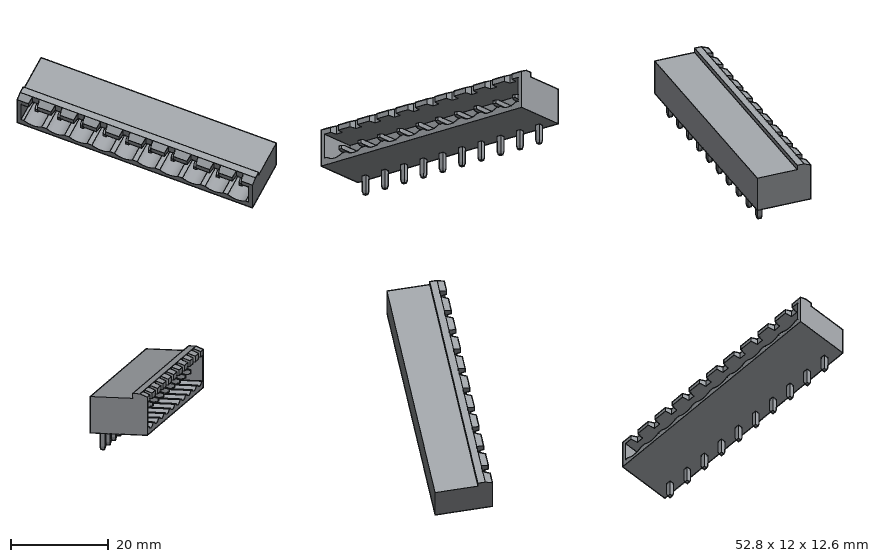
import cadquery as cq


length = 52.8
depth = 12.0
deck_height = 7.6
lip_height = 8.6
lip_depth = 3.05
lip_bevel_depth = 1.55
lip_bevel_drop = 0.65

end_wall = 0.9
floor_height = 1.6
ceiling_height = 6.8
socket_depth = 8.25

groove_half_width = 2.0
groove_sag = 0.65

notch_back_width = 1.5
notch_front_width = 2.0

pin_count = 10
end_margin = 3.55
pin_pitch = (length - 2 * end_margin) / (pin_count - 1)
pin_width = 1.0
pin_axis_height = 3.85
pin_leg_y = depth - 1.9
pin_drop = 4.0
pin_front_y = 1.85
taper_length = 0.7
taper_inset = 0.15

pin_positions = [end_margin + i * pin_pitch - length / 2 for i in range(pin_count)]


def make_housing():
    """Extrude the stepped side profile, with its bevelled lip, along the row."""
    return (
        cq.Workplane("YZ")
        .polyline(
            [
                (0, 0),
                (depth, 0),
                (depth, deck_height),
                (lip_depth, deck_height),
                (lip_depth, lip_height),
                (lip_bevel_depth, lip_height),
                (0, lip_height - lip_bevel_drop),
            ]
        )
        .close()
        .extrude(length / 2, both=True)
    )


def make_socket():
    """Front opening whose floor dips in a round groove below each pin."""
    inner_x = length / 2 - end_wall
    outline = cq.Workplane("XZ").moveTo(-inner_x, ceiling_height).lineTo(-inner_x, floor_height)
    for x in pin_positions:
        outline = outline.lineTo(x - groove_half_width, floor_height).threePointArc(
            (x, floor_height - groove_sag), (x + groove_half_width, floor_height)
        )
    outline = outline.lineTo(inner_x, floor_height).lineTo(inner_x, ceiling_height).close()
    return outline.extrude(-socket_depth)


def make_notch(x):
    """Notch from the socket ceiling up through the lip, wider at the front face."""
    return (
        cq.Workplane("XY", origin=(x, 0, ceiling_height))
        .polyline(
            [
                (-notch_front_width / 2, 0),
                (notch_front_width / 2, 0),
                (notch_back_width / 2, lip_bevel_depth),
                (-notch_back_width / 2, lip_bevel_depth),
            ]
        )
        .close()
        .extrude(lip_height - ceiling_height)
    )


def make_bar(workplane, bar_length):
    """Square bar along the workplane normal, narrowing to a blunt tip at its far end."""
    tip_width = pin_width - 2 * taper_inset
    shank_length = bar_length - taper_length
    shank = workplane.rect(pin_width, pin_width).extrude(shank_length)
    tip = (
        workplane.workplane(offset=shank_length)
        .rect(pin_width, pin_width)
        .workplane(offset=taper_length)
        .rect(tip_width, tip_width)
        .loft(ruled=True)
    )
    return shank.union(tip)


def make_pin(x):
    """Contact toward the front and leg toward the board, meeting at a square corner."""
    corner_y = pin_leg_y + pin_width / 2
    corner_z = pin_axis_height + pin_width / 2
    contact_plane = cq.Workplane("XZ", origin=(x, corner_y, pin_axis_height))
    leg_plane = cq.Workplane("XY", origin=(x, pin_leg_y, corner_z)).transformed(rotate=(180, 0, 0))
    contact = make_bar(contact_plane, corner_y - pin_front_y)
    leg = make_bar(leg_plane, corner_z + pin_drop)
    return contact.union(leg)


result = make_housing().cut(make_socket())
for x in pin_positions:
    result = result.cut(make_notch(x))
for x in pin_positions:
    result = result.union(make_pin(x))